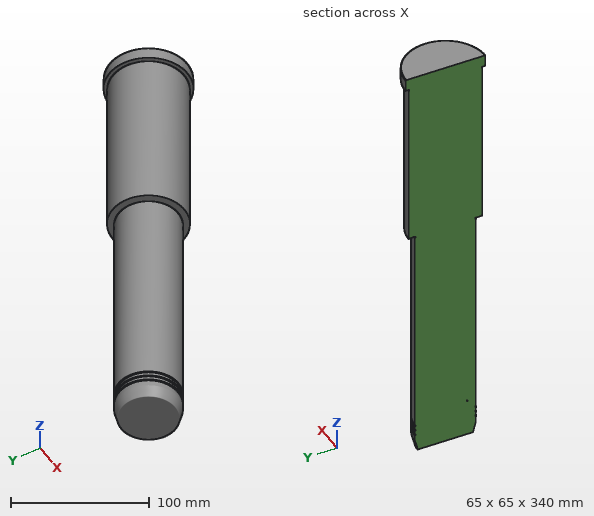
import cadquery as cq
import math

total_length = 340.0

head_diameter = 65.0
head_height = 10.0
head_chamfer = 0.5

shoulder_diameter = 60.0
shoulder_bottom = 194.5

pin_diameter = 50.0

taper_height = 9.0
taper_angle = 15.0
tip_fillet = 0.5

groove_width = 1.0
oil_groove_count = 3
oil_groove_pitch = 4.0
lowest_oil_groove = 14.5

head_bottom = total_length - head_height


def cylinder(diameter, bottom, top):
    """Solid cylinder on the Z axis between two heights."""
    return cq.Workplane("XY").workplane(offset=bottom).circle(diameter / 2).extrude(top - bottom)


def head():
    """Flange with a chamfered top edge."""
    flange = cylinder(head_diameter, head_bottom, total_length)
    return flange.faces(">Z").edges().chamfer(head_chamfer)


def tapered_tip():
    """Cone leading into the pin, with a rounded end edge."""
    pin_radius = pin_diameter / 2
    end_radius = pin_radius - taper_height * math.tan(math.radians(taper_angle))
    profile = [(0, 0), (end_radius, 0), (pin_radius, taper_height), (0, taper_height)]
    cone = cq.Workplane("XZ").polyline(profile).close().revolve(360, (0, 0, 0), (0, 1, 0))
    return cone.faces("<Z").edges().fillet(tip_fillet)


def groove(diameter, center_height):
    """Ring of round section, removed to leave a groove around a cylinder."""
    radius = diameter / 2
    section = cq.Workplane("XZ").center(radius, center_height).circle(groove_width / 2)
    return section.revolve(360, (-radius, 0, 0), (-radius, 1, 0))


shoulder = cylinder(shoulder_diameter, shoulder_bottom, head_bottom)
pin = cylinder(pin_diameter, taper_height, shoulder_bottom)
result = tapered_tip().union(pin).union(shoulder).union(head())

for index in range(oil_groove_count):
    result = result.cut(groove(pin_diameter, lowest_oil_groove + index * oil_groove_pitch))

for diameter, step_height in ((shoulder_diameter, head_bottom), (pin_diameter, shoulder_bottom)):
    result = result.cut(groove(diameter, step_height - groove_width / 2))